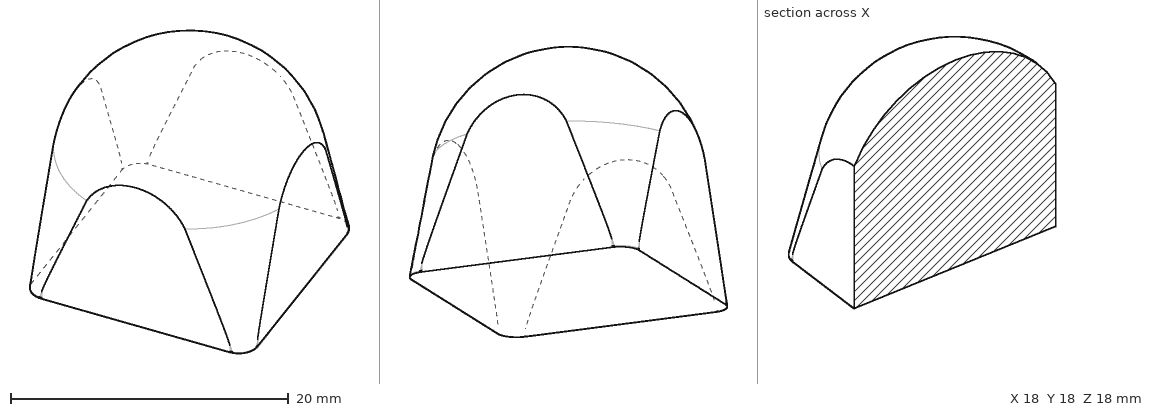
import cadquery as cq
import math

side = 18.0
dome_radius = 10.0
corner_radius = 1.5
base_thickness = 0.1
seam_height = 9.95

half_side = side / 2
dome_center_height = side - dome_radius
seam_radius = math.sqrt(dome_radius**2 - (seam_height - dome_center_height) ** 2)
taper_height = seam_height - base_thickness
corner_center = half_side - corner_radius
seam_half_flat = math.sqrt(seam_radius**2 - half_side**2)


def make_rounded_block(height):
    """Square block standing on the ground plane, with rounded vertical edges."""
    block = cq.Workplane("XY").box(side, side, height, centered=(True, True, False))
    return block.edges("|Z").fillet(corner_radius)


def quarter_disc(sketch, radius):
    """Draw the first-quadrant sector of a circle about the sketch origin."""
    middle = radius / math.sqrt(2)
    return (
        sketch.lineTo(radius, 0)
        .threePointArc((middle, middle), (0, radius))
        .close()
    )


def make_corner():
    """Oblique quarter cone from one base corner to the seam, trimmed by the block."""
    foot = cq.Workplane("XY", origin=(corner_center, corner_center, base_thickness))
    foot = quarter_disc(foot, corner_radius)
    head = foot.workplane(offset=taper_height).center(-corner_center, -corner_center)
    cone = quarter_disc(head, seam_radius).loft(ruled=True)
    return cone.intersect(make_rounded_block(side))


def make_side_wedge(plane):
    """Trapezoid running right through the part; its ends lie on two opposite flat sides."""
    return (
        cq.Workplane(plane)
        .moveTo(-corner_center, base_thickness)
        .lineTo(corner_center, base_thickness)
        .lineTo(seam_half_flat, seam_height)
        .lineTo(-seam_half_flat, seam_height)
        .close()
        .extrude(half_side, both=True)
    )


def make_dome():
    """Cap of the sphere above the seam."""
    sphere = cq.Workplane("XY", origin=(0, 0, dome_center_height)).sphere(dome_radius)
    return sphere.intersect(make_rounded_block(side).translate((0, 0, seam_height)))


body = make_rounded_block(base_thickness)
for plane in ("XZ", "YZ"):
    body = body.union(make_side_wedge(plane))
corner = make_corner()
for quarter in range(4):
    body = body.union(corner.rotate((0, 0, 0), (0, 0, 1), 90 * quarter))

result = body.union(make_dome()).clean()